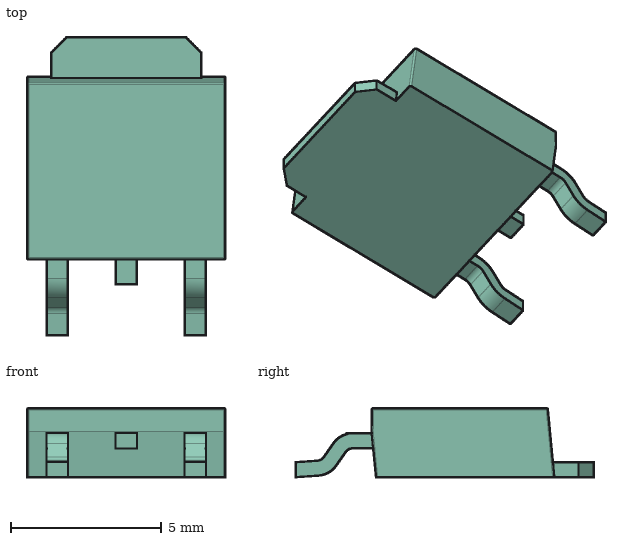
import cadquery as cq
import math


total_length = 9.92

housing_width = 6.6
housing_height = 2.3
front_base_y = 2.67
front_ridge_y = 2.52
front_top_y = 2.53
ridge_height = 1.52
back_base_y = 8.61
back_top_y = 8.39
housing_rounding = 0.06

tab_width = 5.0
tab_corner = 0.52

metal_thickness = 0.51

lead_width = 0.71
lead_spacing = 4.59
lead_top = 1.47
lead_underside = lead_top - metal_thickness
stub_end_y = 1.7
bend_start_y = 1.89
bend_inner_radius = 0.28
bend_outer_radius = bend_inner_radius + metal_thickness
ramp_angle = math.radians(55)
foot_angle = math.radians(4)


def front_wall_y(z):
    """Y of the sloped lower front wall at height z."""
    return front_base_y + (front_ridge_y - front_base_y) * z / ridge_height


def make_block():
    """Moulded block: side outline across the width, with the upright corners and top rim rounded."""
    block = (
        cq.Workplane("YZ")
        .moveTo(front_base_y, 0)
        .lineTo(front_ridge_y, ridge_height)
        .lineTo(front_top_y, housing_height)
        .lineTo(back_top_y, housing_height)
        .lineTo(back_base_y, 0)
        .close()
        .extrude(housing_width / 2, both=True)
    )
    upright_edges_rounded = block.edges("not (|X or |Y)").fillet(housing_rounding)
    return upright_edges_rounded.edges(">Z").fillet(housing_rounding)


def make_tab():
    """Flat tab on the mounting plane, with its two far corners cut off."""
    root_y = back_base_y - metal_thickness
    return (
        cq.Workplane("XY")
        .moveTo(0, (root_y + total_length) / 2)
        .rect(tab_width, total_length - root_y)
        .extrude(metal_thickness)
        .edges("|Z and >Y")
        .chamfer(tab_corner)
    )


def make_stub():
    """Short straight stub of the middle lead, running back to the front wall."""
    return (
        cq.Workplane("YZ")
        .moveTo(stub_end_y, lead_underside)
        .lineTo(stub_end_y, lead_top)
        .lineTo(front_wall_y(lead_top), lead_top)
        .lineTo(front_wall_y(lead_underside), lead_underside)
        .close()
        .extrude(lead_width / 2, both=True)
    )


def make_housing():
    return make_block().union(make_tab()).union(make_stub())


def along(angle):
    """Direction of the lead, in (Y, Z), where it falls at the given angle."""
    return cq.Vector(-math.cos(angle), -math.sin(angle))


def across(angle):
    """Upward normal of the lead, in (Y, Z), where it falls at the given angle."""
    return cq.Vector(-math.sin(angle), math.cos(angle))


def make_lead(center_x):
    """Gull-wing lead from the front wall down to a slightly sloped foot."""
    upper_center = cq.Vector(bend_start_y, lead_underside - bend_inner_radius)

    rampless_center = upper_center + across(ramp_angle) * (bend_inner_radius + bend_outer_radius)
    rampless_heel = rampless_center - across(foot_angle) * bend_outer_radius
    foot_slope = math.tan(foot_angle)
    drop = rampless_heel.y - rampless_heel.x * foot_slope
    ramp_length = drop / (math.sin(ramp_angle) - math.cos(ramp_angle) * foot_slope)
    lower_center = rampless_center + along(ramp_angle) * ramp_length

    def upper_bend(radius, angle):
        return (upper_center + across(angle) * radius).toTuple()[:2]

    def lower_bend(radius, angle):
        return (lower_center - across(angle) * radius).toTuple()[:2]

    upper_middle = ramp_angle / 2
    lower_middle = (ramp_angle + foot_angle) / 2
    toe_height = metal_thickness / math.cos(foot_angle)
    return (
        cq.Workplane("YZ", origin=(center_x, 0, 0))
        .moveTo(front_wall_y(lead_top), lead_top)
        .lineTo(bend_start_y, lead_top)
        .threePointArc(upper_bend(bend_outer_radius, upper_middle), upper_bend(bend_outer_radius, ramp_angle))
        .lineTo(*lower_bend(bend_inner_radius, ramp_angle))
        .threePointArc(lower_bend(bend_inner_radius, lower_middle), lower_bend(bend_inner_radius, foot_angle))
        .lineTo(0, toe_height)
        .lineTo(0, 0)
        .lineTo(*lower_bend(bend_outer_radius, foot_angle))
        .threePointArc(lower_bend(bend_outer_radius, lower_middle), lower_bend(bend_outer_radius, ramp_angle))
        .lineTo(*upper_bend(bend_inner_radius, ramp_angle))
        .threePointArc(upper_bend(bend_inner_radius, upper_middle), upper_bend(bend_inner_radius, 0))
        .lineTo(front_wall_y(lead_underside), lead_underside)
        .close()
        .extrude(lead_width / 2, both=True)
    )


housing = make_housing()
leads = [make_lead(side * lead_spacing / 2) for side in (-1, 1)]

result = cq.Compound.makeCompound([housing.val(), *[lead.val() for lead in leads]])